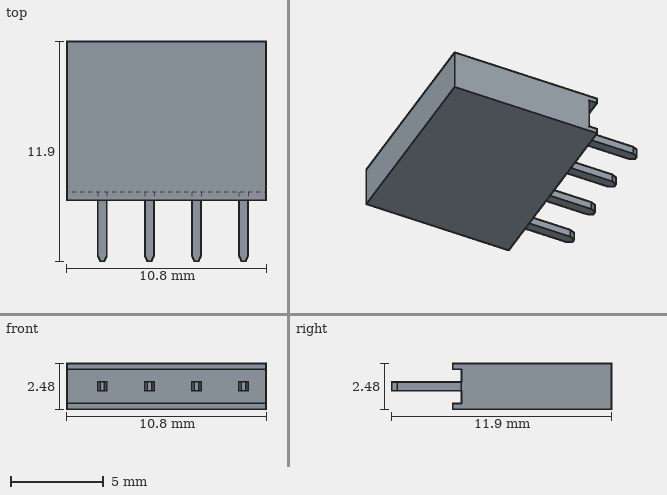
import cadquery as cq

width = 10.76
height = 2.48
total_length = 11.88
housing_length = 8.59
lip_thickness = 0.32
channel_depth = 0.48

pin_count = 4
pin_pitch = 2.54
pin_size = 0.5
row_offset = 0.35
tip_length = 0.3
tip_width = 0.23

back_y = total_length / 2
front_y = back_y - housing_length
channel_floor_y = front_y + channel_depth
pin_end_y = back_y - total_length
taper_start_y = pin_end_y + tip_length


def make_housing():
    """Block with a channel between an upper and a lower lip."""
    half_height = height / 2
    half_channel = half_height - lip_thickness
    profile = [
        (back_y, -half_height),
        (back_y, half_height),
        (front_y, half_height),
        (front_y, half_channel),
        (channel_floor_y, half_channel),
        (channel_floor_y, -half_channel),
        (front_y, -half_channel),
        (front_y, -half_height),
    ]
    return cq.Workplane("YZ").polyline(profile).close().extrude(width / 2, both=True)


def make_pin(center_x):
    """Square pin whose two X sides taper to a flat tip."""
    half_size = pin_size / 2
    half_tip = tip_width / 2
    root_y = channel_floor_y + pin_size
    outline = [
        (center_x - half_size, root_y),
        (center_x - half_size, taper_start_y),
        (center_x - half_tip, pin_end_y),
        (center_x + half_tip, pin_end_y),
        (center_x + half_size, taper_start_y),
        (center_x + half_size, root_y),
    ]
    return cq.Workplane("XY").polyline(outline).close().extrude(pin_size / 2, both=True)


result = make_housing()
first_pin_x = row_offset - pin_pitch * (pin_count - 1) / 2
for index in range(pin_count):
    result = result.union(make_pin(first_pin_x + index * pin_pitch))